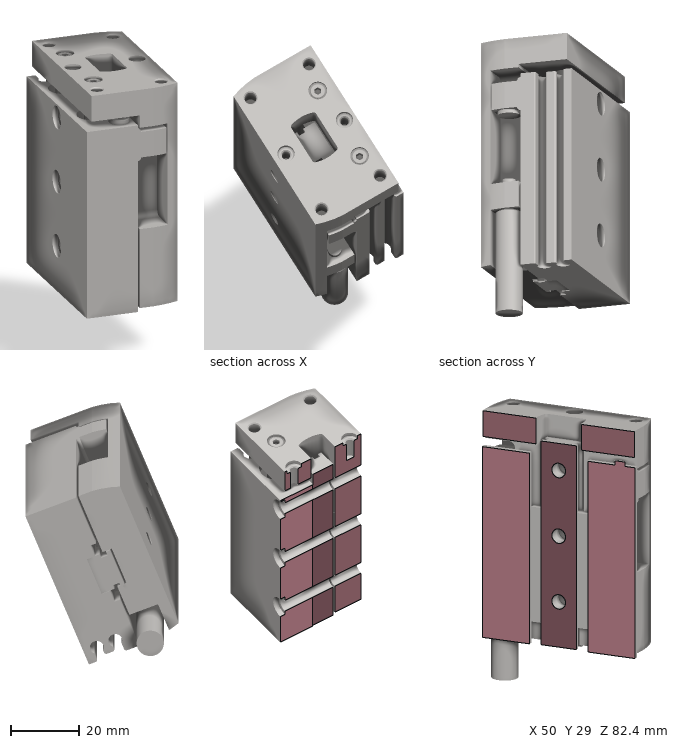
import cadquery as cq

HOUSING_WIDTH = 50.0
HOUSING_DEPTH = 16.0
HOUSING_HEIGHT = 58.25
MOUNT_HOLE_D = 4.3
MOUNT_BORE_D = 7.0
MOUNT_BORE_DEPTH = 1.65
MOUNT_HOLE_Z = 14.1
HOLE_PITCH = 20.0
MOUNT_HOLE_COUNT = 3

GROOVE_YS = (4.1, 10.0)
GROOVE_D = 4.0
GROOVE_MOUTH = 2.7
GROOVE_CHAMFER = 0.4
GROOVE_CENTRE_DEPTH = 4.1
LAND_RECESS = 1.15

PLUG_X = HOLE_PITCH
PLUG_Y = 11.95
PLUG_D = 6.1
PLUG_HEIGHT = 1.3
PLUG_TIP_D = 3.0
PLUG_TIP_HEIGHT = 0.7

TABLE_BACK = 29.0
TABLE_INNER = 16.65
TABLE_BOTTOM = 1.1
TABLE_TOP = 69.2
TABLE_HALF_WIDTH = 24.8
TABLE_BACK_HALF_WIDTH = 23.1
FLANK_START_Y = 20.9
FLANK_MIDDLE = (24.2, 25.0)
END_PLATE_THICKNESS = 8.0
END_PLATE_FRONT = 1.6
END_PLATE_BOTTOM = TABLE_TOP - END_PLATE_THICKNESS

POCKET_BACK = 25.6
POCKET_WALL_X = -15.3
POCKET_TOP = 60.2
FAR_POCKET_TOP = 57.35
POCKET_FILLET = 1.7
BRACKET_TOP = 25.7
BRACKET_BOTTOM = 17.9

WINDOW_FRONT = 11.1
WINDOW_BACK = 19.6
WINDOW_HALF_WIDTH = 7.3
WINDOW_CORNER_HALF_WIDTH = 6.5
WINDOW_CORNER_FILLET = 0.8
PLATE_HOLE_FRONT_Y = 5.0
PLATE_HOLE_YS = (PLATE_HOLE_FRONT_Y, PLATE_HOLE_FRONT_Y + HOLE_PITCH)
THREAD_D = 3.5
THREAD_CHAMFER = 0.3
THREAD_DEPTH = 6.6
LOCATING_BORE_D = 5.0
LOCATING_BORE_DEPTH = 1.2
LOCATING_HOLE_D = 2.5
LOCATING_CHAMFER_D = 3.2

RAIL_WIDTH = 11.7
RAIL_FRONT = 11.7
RAIL_BACK = 18.95
RAIL_BOTTOM = 0.25
RAIL_TOP = 62.5
RACE_DEPTH = 1.2
RACE_FRONT = 15.65
RACE_BACK = 17.7
CHANNEL_BACK = 19.5
BEARING_BOTTOM = 6.8
BEARING_TOP = 41.9
BEARING_FRONT = 14.7
BEARING_WIDTH = 18.1
BEARING_GAP = 0.4

ROD_X = 11.8
ROD_Y = 7.0
ROD_D = 5.4
ROD_BOTTOM = 9.9
ROD_COUNTERBORE_D = 10.0
ROD_COUNTERBORE_DEPTH = 3.3
ROD_RECESS = 0.5
ROD_HEAD_D = 4.5
ROD_HEAD_HEIGHT = 0.3
ROD_HEAD_CHAMFER = 0.25
SOCKET_FLATS = 2.0
SOCKET_DEPTH = 1.65

DAMPER_X = -20.8
DAMPER_Y = 21.0
DAMPER_D = 8.0
DAMPER_BOTTOM = -13.2
DAMPER_SHOULDER = 17.4
DAMPER_CHAMFER = 0.25
DAMPER_THREAD_D = 6.1
DAMPER_TIP_D = 4.0
DAMPER_TIP_TOP = 27.35
STOPPER_BOTTOM = 48.1
STOPPER_TOP = 56.1
STOPPER_INNER_X = -16.15
STOPPER_BACK = 25.1
STOPPER_HOLE_D = 3.5
STOPPER_FILLET = 1.0
BUMPER_D = 6.8
BUMPER_HEIGHT = 1.15


def box(x_range, y_range, z_range):
    """Box between the given limits along each axis."""
    size = [high - low for low, high in (x_range, y_range, z_range)]
    corner = (x_range[0], y_range[0], z_range[0])
    return cq.Workplane("XY").box(*size, centered=False).translate(corner)


def post(x, y, diameter, bottom, top):
    """Vertical cylinder."""
    return cq.Workplane("XY", origin=(x, y, bottom)).circle(diameter / 2).extrude(top - bottom)


def mount_hole_zs():
    return [MOUNT_HOLE_Z + i * HOLE_PITCH for i in range(MOUNT_HOLE_COUNT)]


def mount_bores(diameter, depth):
    """Cylinders along Y from the mounting face, one at each mounting hole."""
    return (
        cq.Workplane("XZ")
        .pushPoints([(0, z) for z in mount_hole_zs()])
        .circle(diameter / 2)
        .extrude(-depth)
    )


def flank_prism(bottom, top, front, half_width=TABLE_HALF_WIDTH):
    """Prism with the outer contour of the table: straight flanks that curve in towards the back."""
    outset = half_width - TABLE_HALF_WIDTH
    middle_x = FLANK_MIDDLE[0] + outset
    middle_y = FLANK_MIDDLE[1]
    back_x = TABLE_BACK_HALF_WIDTH + outset
    return (
        cq.Workplane("XY", origin=(0, 0, bottom))
        .moveTo(-half_width, front)
        .lineTo(half_width, front)
        .lineTo(half_width, FLANK_START_Y)
        .threePointArc((middle_x, middle_y), (back_x, TABLE_BACK))
        .lineTo(-back_x, TABLE_BACK)
        .threePointArc((-middle_x, middle_y), (-half_width, FLANK_START_Y))
        .close()
        .extrude(top - bottom)
    )


def sensor_grooves():
    """Two round grooves with narrower chamfered mouths, and the recess of the land between them."""
    edge = -HOUSING_WIDTH / 2
    land = edge + LAND_RECESS
    centre = edge + GROOVE_CENTRE_DEPTH
    front_y, back_y = GROOVE_YS
    neck = GROOVE_MOUTH / 2
    lip = neck + GROOVE_CHAMFER
    mouths = (
        cq.Workplane("XY")
        .polyline([
            (edge, back_y + lip),
            (edge + GROOVE_CHAMFER, back_y + neck),
            (centre, back_y + neck),
            (centre, back_y - neck),
            (land + GROOVE_CHAMFER, back_y - neck),
            (land, back_y - lip),
            (land, front_y + lip),
            (land + GROOVE_CHAMFER, front_y + neck),
            (centre, front_y + neck),
            (centre, front_y - neck),
            (edge + GROOVE_CHAMFER, front_y - neck),
            (edge, front_y - lip),
        ])
        .close()
        .extrude(HOUSING_HEIGHT)
    )
    for y in GROOVE_YS:
        mouths = mouths.union(post(centre, y, GROOVE_D, 0, HOUSING_HEIGHT))
    return mouths


def make_stopper_blocks():
    """Blocks on both sides of the housing deck, flush with its flanks and filleted into it."""
    half_width = HOUSING_WIDTH / 2
    foot_y = HOUSING_DEPTH + STOPPER_FILLET
    foot_bottom = STOPPER_BOTTOM - STOPPER_FILLET
    foot_top = STOPPER_TOP + STOPPER_FILLET
    side_shape = (
        cq.Workplane("YZ", origin=(-half_width, 0, 0))
        .moveTo(HOUSING_DEPTH, foot_bottom)
        .radiusArc((foot_y, STOPPER_BOTTOM), -STOPPER_FILLET)
        .lineTo(STOPPER_BACK, STOPPER_BOTTOM)
        .lineTo(STOPPER_BACK, STOPPER_TOP)
        .lineTo(foot_y, STOPPER_TOP)
        .radiusArc((HOUSING_DEPTH, foot_top), -STOPPER_FILLET)
        .close()
        .extrude(HOUSING_WIDTH)
    )
    between = box(
        (STOPPER_INNER_X, -STOPPER_INNER_X), (HOUSING_DEPTH, STOPPER_BACK), (foot_bottom, foot_top)
    )
    contour = flank_prism(foot_bottom, foot_top, HOUSING_DEPTH, half_width)
    return side_shape.intersect(contour).cut(between)


def make_housing():
    half_width = HOUSING_WIDTH / 2
    housing = box((-half_width, half_width), (0, HOUSING_DEPTH), (0, HOUSING_HEIGHT))
    housing = housing.cut(sensor_grooves())

    rail_half = RAIL_WIDTH / 2
    housing = housing.cut(
        box((-rail_half, rail_half), (RAIL_FRONT, HOUSING_DEPTH), (0, HOUSING_HEIGHT))
    )
    trough_half = BEARING_WIDTH / 2 + BEARING_GAP
    housing = housing.cut(
        box(
            (-trough_half, trough_half),
            (BEARING_FRONT - BEARING_GAP, HOUSING_DEPTH),
            (0, HOUSING_HEIGHT),
        )
    )

    for x in (-ROD_X, ROD_X):
        housing = housing.cut(post(x, ROD_Y, ROD_D, ROD_BOTTOM, HOUSING_HEIGHT))
        floor = HOUSING_HEIGHT - ROD_COUNTERBORE_DEPTH
        housing = housing.cut(post(x, ROD_Y, ROD_COUNTERBORE_D, floor, HOUSING_HEIGHT))
    housing = housing.cut(mount_bores(MOUNT_HOLE_D, HOUSING_DEPTH))
    housing = housing.cut(mount_bores(MOUNT_BORE_D, MOUNT_BORE_DEPTH))

    plug_top = HOUSING_HEIGHT + PLUG_HEIGHT
    housing = housing.union(post(PLUG_X, PLUG_Y, PLUG_D, HOUSING_HEIGHT, plug_top))
    housing = housing.union(post(PLUG_X, PLUG_Y, PLUG_TIP_D, plug_top, plug_top + PLUG_TIP_HEIGHT))

    housing = housing.union(make_stopper_blocks())
    housing = housing.cut(post(DAMPER_X, DAMPER_Y, STOPPER_HOLE_D, STOPPER_BOTTOM, STOPPER_TOP))
    bumper_bottom = STOPPER_BOTTOM - BUMPER_HEIGHT
    return housing.union(post(DAMPER_X, DAMPER_Y, BUMPER_D, bumper_bottom, STOPPER_BOTTOM))


def side_pocket(bottom, top, filleted_edges):
    """Pocket open towards -X and the housing; its inner vertical wall meets its ends in fillets."""
    pocket = box((-HOUSING_WIDTH / 2, POCKET_WALL_X), (TABLE_INNER, POCKET_BACK), (bottom, top))
    return pocket.edges(filleted_edges).fillet(POCKET_FILLET)


def window():
    """Opening through the end plate, with bowed sides, that reaches down to the bearing."""
    middle_y = (WINDOW_FRONT + WINDOW_BACK) / 2
    corner_x = WINDOW_CORNER_HALF_WIDTH
    return (
        cq.Workplane("XY", origin=(0, 0, BEARING_TOP))
        .moveTo(-corner_x, WINDOW_FRONT)
        .lineTo(corner_x, WINDOW_FRONT)
        .threePointArc((WINDOW_HALF_WIDTH, middle_y), (corner_x, WINDOW_BACK))
        .lineTo(-corner_x, WINDOW_BACK)
        .threePointArc((-WINDOW_HALF_WIDTH, middle_y), (-corner_x, WINDOW_FRONT))
        .close()
        .extrude(TABLE_TOP - BEARING_TOP)
        .edges("|Z")
        .fillet(WINDOW_CORNER_FILLET)
    )


def cut_plate_holes(table):
    """Corner threads, and stepped locating holes on the centre line."""
    top = table.faces(">Z").workplane(origin=(0, 0, TABLE_TOP))
    table = (
        top.pushPoints([(x, y) for x in (-HOLE_PITCH, HOLE_PITCH) for y in PLATE_HOLE_YS])
        .cskHole(THREAD_D, THREAD_D + 2 * THREAD_CHAMFER, 90, THREAD_DEPTH)
    )
    for y in PLATE_HOLE_YS:
        ledge = TABLE_TOP - LOCATING_BORE_DEPTH
        table = table.cut(post(0, y, LOCATING_BORE_D, ledge, TABLE_TOP))
        table = (
            table.copyWorkplane(cq.Workplane("XY", origin=(0, y, ledge)))
            .cskHole(LOCATING_HOLE_D, LOCATING_CHAMFER_D, 90, ledge - END_PLATE_BOTTOM)
        )
    return table


def make_table():
    table = flank_prism(TABLE_BOTTOM, TABLE_TOP, TABLE_INNER)
    table = table.union(flank_prism(END_PLATE_BOTTOM, TABLE_TOP, END_PLATE_FRONT))

    far_pocket = side_pocket(BRACKET_TOP, FAR_POCKET_TOP, "|Y and >X").mirror("YZ")
    table = table.cut(far_pocket)

    table = table.cut(side_pocket(BRACKET_TOP, POCKET_TOP, "|Y and >X"))
    table = table.cut(side_pocket(TABLE_BOTTOM, BRACKET_BOTTOM, "|Y and >X and >Z"))
    table = table.cut(post(DAMPER_X, DAMPER_Y, DAMPER_THREAD_D, BRACKET_BOTTOM, BRACKET_TOP))

    bearing_half = BEARING_WIDTH / 2
    rail_half = RAIL_WIDTH / 2
    bearing_span = (BEARING_BOTTOM, BEARING_TOP)
    table = table.union(
        box((-bearing_half, bearing_half), (BEARING_FRONT, TABLE_INNER), bearing_span)
    )
    table = table.cut(
        box((-rail_half, rail_half), (BEARING_FRONT, CHANNEL_BACK), (TABLE_BOTTOM, BEARING_TOP))
    )
    race_root = rail_half - RACE_DEPTH
    for limits in ((-rail_half, -race_root), (race_root, rail_half)):
        table = table.union(box(limits, (RACE_FRONT, RACE_BACK), bearing_span))

    table = table.cut(window())
    table = cut_plate_holes(table)
    for x in (-ROD_X, ROD_X):
        table = table.cut(post(x, ROD_Y, ROD_D, END_PLATE_BOTTOM, TABLE_TOP))
    return table.cut(mount_bores(MOUNT_HOLE_D, TABLE_BACK))


def make_rail():
    """Guide rail with a square race along each side and clear mounting holes."""
    rail_half = RAIL_WIDTH / 2
    race_root = rail_half - RACE_DEPTH
    span = (RAIL_BOTTOM, RAIL_TOP)
    rail = box((-rail_half, rail_half), (RAIL_FRONT, RAIL_BACK), span)
    for limits in ((-rail_half, -race_root), (race_root, rail_half)):
        rail = rail.cut(box(limits, (RACE_FRONT, RACE_BACK), span))
    return rail.cut(mount_bores(MOUNT_HOLE_D, RAIL_BACK))


def make_rod(x):
    """Piston rod that ends in a screw head with a hexagon socket, recessed in the end plate."""
    shoulder = TABLE_TOP - ROD_RECESS - ROD_HEAD_HEIGHT
    head_top = TABLE_TOP - ROD_RECESS
    rod = post(x, ROD_Y, ROD_D, ROD_BOTTOM, shoulder)
    head = post(x, ROD_Y, ROD_HEAD_D, shoulder, head_top).faces(">Z").chamfer(ROD_HEAD_CHAMFER)
    rod = rod.union(head)
    socket = (
        cq.Workplane("XY", origin=(x, ROD_Y, head_top))
        .polygon(6, SOCKET_FLATS, circumscribed=True)
        .extrude(-SOCKET_DEPTH)
    )
    return rod.cut(socket)


def make_damper():
    """Shock absorber: cylinder, threaded neck flush with the bracket, and a striking tip."""
    body = post(DAMPER_X, DAMPER_Y, DAMPER_D, DAMPER_BOTTOM, DAMPER_SHOULDER)
    body = body.faces(">Z").chamfer(DAMPER_CHAMFER)
    neck = post(DAMPER_X, DAMPER_Y, DAMPER_THREAD_D, DAMPER_SHOULDER, BRACKET_TOP)
    tip = post(DAMPER_X, DAMPER_Y, DAMPER_TIP_D, BRACKET_TOP, DAMPER_TIP_TOP)
    return body.union(neck).union(tip)


housing = make_housing()
table = make_table()
rail = make_rail()
rods = [make_rod(x) for x in (-ROD_X, ROD_X)]
damper = make_damper()

result = cq.Compound.makeCompound(
    [housing.val(), table.val(), rail.val(), *[rod.val() for rod in rods], damper.val()]
)